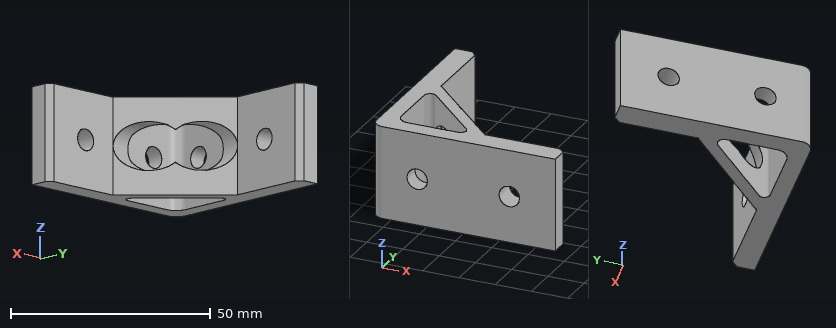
import cadquery as cq
import math

leg_length = 50.8
height = 25.4
leg_thickness = 6.35
tip_chamfer = 1.6
outer_corner_radius = 3.2

brace_reach = 34.85
brace_thickness = 3.2

window_wall = 4.8
window_corner_radius = 3.2
window_tip_radius = 1.6

hole_diameter = 5.6
hole_positions = (leg_length / 4, leg_length * 3 / 4)

access_diameter = 12.65


def bracket_body():
    """Two equal legs joined by a diagonal brace, with a rounded outer corner."""
    brace_end = brace_reach - leg_thickness
    outline = [
        (0, 0),
        (leg_length, 0),
        (leg_length, leg_thickness),
        (brace_end, leg_thickness),
        (leg_thickness, brace_end),
        (leg_thickness, leg_length),
        (0, leg_length),
    ]
    body = cq.Workplane("XY").polyline(outline).close().extrude(height)
    outer_corner = cq.selectors.NearestToPointSelector((0, 0, height / 2))
    body = body.edges(outer_corner).fillet(outer_corner_radius)
    for tip in ((leg_length, leg_thickness), (leg_thickness, leg_length)):
        tip_edge = cq.selectors.NearestToPointSelector((*tip, height / 2))
        body = body.edges(tip_edge).chamfer(tip_chamfer)
    return body


def window():
    """Triangular prism with rounded corners, running the full height."""
    window_end = brace_reach - brace_thickness * math.sqrt(2) - window_wall
    corner = (window_wall, window_wall)
    tips = [(window_end, window_wall), (window_wall, window_end)]
    prism = cq.Workplane("XY").polyline([corner, *tips]).close().extrude(height)
    for point, radius in (
        (corner, window_corner_radius),
        (tips[0], window_tip_radius),
        (tips[1], window_tip_radius),
    ):
        edge = cq.selectors.NearestToPointSelector((*point, height / 2))
        prism = prism.edges(edge).fillet(radius)
    return prism


def bores_along_x_and_y(positions, diameter, start, end):
    """Mid-height bores running from start to end, one set along X and one along Y."""
    points = [(position, height / 2) for position in positions]
    length = end - start
    along_x = cq.Workplane("YZ", origin=(start, 0, 0)).pushPoints(points).circle(diameter / 2).extrude(length)
    along_y = cq.Workplane("XZ", origin=(0, start, 0)).pushPoints(points).circle(diameter / 2).extrude(-length)
    return [along_x, along_y]


screw_holes = bores_along_x_and_y(hole_positions, hole_diameter, 0, leg_thickness)

access_bores = bores_along_x_and_y(hole_positions[:1], access_diameter, leg_thickness, brace_reach)

result = bracket_body().cut(window())
for bore in screw_holes + access_bores:
    result = result.cut(bore)